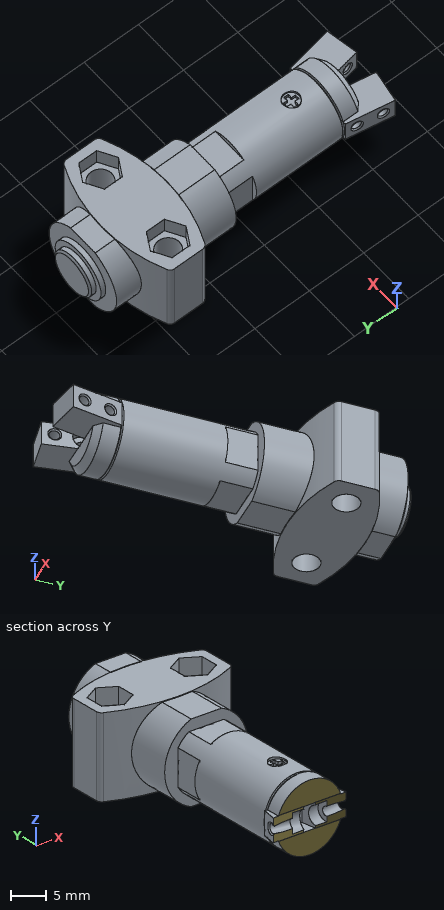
import cadquery as cq
import math

OVERALL_LENGTH = 54.2
REAR_END = 11.5
CAP_START = 10.35
BOSS_REAR = 9.5
BOSS_FRONT = -12.5
BARREL_START = -17.5
GROOVE_REAR = -33.4
GROOVE_FRONT = -33.7
HEAD_END = -37.5
JAW_TIP = REAR_END - OVERALL_LENGTH

SHAFT_D = 10.2
CAP_D = 8.0
CAP_CHAMFER = 0.3
BARREL_D = 12.0
GROOVE_D = 11.5
HEAD_CHAMFER = 1.1

SCREW_Y = -28.85
SCREW_D = 2.9
SCREW_TOP = 5.6
CROSS_LENGTH = 2.15
CROSS_WIDTH = 0.75
CROSS_DEPTH = 0.55

BRACKET_LENGTH = 24.0
BRACKET_WIDTH = 12.0
BRACKET_END_WIDTH = 6.4
BRACKET_HEIGHT = 14.2
BRACKET_CORNER_R = 1.0
BOSS_D = 15.0
BOSS_HEIGHT = 14.0
BOLT_SPACING = 15.0
BOLT_D = 4.1
NUT_FLATS = 5.7
NUT_DEPTH = 3.0

JAW_ANGLE = 10.0
JAW_WIDTH = 5.5
JAW_HEIGHT = 4.0
JAW_TIP_X = 2.15
JAW_HOLE_D = 1.55
JAW_HOLE_CHAMFER = 0.2
JAW_HOLE_FROM_TIP = 1.95
JAW_HOLE_PITCH = 4.3
JAW_POCKET_D = 3.3
JAW_POCKET_DEPTH = 2.0


def cylinder(diameter, start, end):
    """Solid cylinder on the Y axis between two stations."""
    return (
        cq.Workplane("XZ", origin=(0, start, 0))
        .circle(diameter / 2)
        .extrude(start - end)
    )


def make_bracket():
    half_length = BRACKET_LENGTH / 2
    half_width = BRACKET_WIDTH / 2
    half_end = BRACKET_END_WIDTH / 2
    plate = (
        cq.Workplane("XY", origin=(0, 0, -BRACKET_HEIGHT / 2))
        .moveTo(-half_length, -half_end)
        .threePointArc((0, -half_width), (half_length, -half_end))
        .lineTo(half_length, half_end)
        .threePointArc((0, half_width), (-half_length, half_end))
        .close()
        .extrude(BRACKET_HEIGHT)
        .edges("|Z")
        .fillet(BRACKET_CORNER_R)
    )

    boss_length = BOSS_REAR - BOSS_FRONT
    boss_middle = (BOSS_REAR + BOSS_FRONT) / 2
    flats = cq.Workplane("XY").box(BOSS_D, boss_length, BOSS_HEIGHT).translate((0, boss_middle, 0))
    boss = cylinder(BOSS_D, BOSS_REAR, BOSS_FRONT).intersect(flats)
    bracket = plate.union(boss)
    bracket = bracket.cut(cylinder(SHAFT_D, BOSS_REAR, BOSS_FRONT))

    bolt_points = [(-BOLT_SPACING / 2, 0), (BOLT_SPACING / 2, 0)]
    bolts = (
        cq.Workplane("XY", origin=(0, 0, -BRACKET_HEIGHT / 2))
        .pushPoints(bolt_points)
        .circle(BOLT_D / 2)
        .extrude(BRACKET_HEIGHT)
    )
    nut_corners = NUT_FLATS / math.cos(math.radians(30))
    nut = (
        cq.Workplane("XY")
        .polygon(6, nut_corners)
        .extrude(NUT_DEPTH)
        .rotate((0, 0, 0), (0, 0, 1), 30)
    )
    bracket = bracket.cut(bolts)
    for x, y in bolt_points:
        bracket = bracket.cut(nut.translate((x, y, BRACKET_HEIGHT / 2 - NUT_DEPTH)))
    return bracket


def cut_screw(body):
    """Sink a flat screw head with a cross recess into the top of the barrel."""
    head = (
        cq.Workplane("XY", origin=(0, SCREW_Y, SCREW_TOP))
        .circle(SCREW_D / 2)
        .extrude(BARREL_D / 2 - SCREW_TOP)
    )
    cross_base = cq.Workplane("XY", origin=(0, SCREW_Y, SCREW_TOP - CROSS_DEPTH))
    bar_along_x = cross_base.rect(CROSS_LENGTH, CROSS_WIDTH).extrude(CROSS_DEPTH)
    bar_along_y = cross_base.rect(CROSS_WIDTH, CROSS_LENGTH).extrude(CROSS_DEPTH)
    return body.cut(head).cut(bar_along_x).cut(bar_along_y)


def make_body():
    cap = cylinder(CAP_D, REAR_END, CAP_START).faces(">Y").chamfer(CAP_CHAMFER)
    shaft = cylinder(SHAFT_D, CAP_START, BOSS_FRONT)

    neck_length = BOSS_FRONT - BARREL_START
    neck_square = (
        cq.Workplane("XZ", origin=(0, BOSS_FRONT, 0))
        .rect(SHAFT_D, SHAFT_D)
        .extrude(neck_length)
    )
    neck = cylinder(BARREL_D, BOSS_FRONT, BARREL_START).intersect(neck_square)

    barrel = cylinder(BARREL_D, BARREL_START, GROOVE_REAR)
    groove_middle = (GROOVE_REAR + GROOVE_FRONT) / 2
    groove_neck = (
        cq.Workplane("XY")
        .moveTo(0, GROOVE_REAR)
        .lineTo(BARREL_D / 2, GROOVE_REAR)
        .lineTo(GROOVE_D / 2, groove_middle)
        .lineTo(BARREL_D / 2, GROOVE_FRONT)
        .lineTo(0, GROOVE_FRONT)
        .close()
        .revolve(360, (0, 0, 0), (0, 1, 0))
    )
    head = cylinder(BARREL_D, GROOVE_FRONT, HEAD_END).faces("<Y").chamfer(HEAD_CHAMFER)
    body = cap.union(shaft).union(neck).union(barrel).union(groove_neck).union(head)

    slot = (
        cq.Workplane("XZ", origin=(0, GROOVE_FRONT, 0))
        .rect(BARREL_D, JAW_HEIGHT)
        .extrude(GROOVE_FRONT - HEAD_END)
    )
    return cut_screw(body.cut(slot))


def jaw_cylinder(diameter, from_tip, depth):
    """Cylinder square to the inner jaw face, starting at that face, in the untilted jaw."""
    return (
        cq.Workplane("YZ", origin=(0, from_tip, 0))
        .circle(diameter / 2)
        .extrude(depth)
    )


def cut_hole_mouths(jaw, from_tip):
    """Chamfer both ends of a jaw hole with cones that narrow into the jaw."""
    wide = JAW_HOLE_D / 2 + JAW_HOLE_CHAMFER
    narrow = JAW_HOLE_D / 2
    for face_x, direction in ((0, 1), (JAW_WIDTH, -1)):
        mouth = cq.Solid.makeCone(
            wide, narrow, JAW_HOLE_CHAMFER, cq.Vector(face_x, from_tip, 0), cq.Vector(direction, 0, 0)
        )
        jaw = jaw.cut(cq.Workplane(mouth))
    return jaw


def make_jaw():
    """Jaw on the +X side: a drilled bar with its inner tip corner at the origin, tilted and then placed."""
    blank_length = 2 * (GROOVE_FRONT - JAW_TIP)
    jaw = cq.Workplane("XY").box(JAW_WIDTH, blank_length, JAW_HEIGHT, centered=(False, False, True))

    inner_hole = JAW_HOLE_FROM_TIP + JAW_HOLE_PITCH
    for from_tip in (JAW_HOLE_FROM_TIP, inner_hole):
        jaw = jaw.cut(jaw_cylinder(JAW_HOLE_D, from_tip, JAW_WIDTH))
        jaw = cut_hole_mouths(jaw, from_tip)
    jaw = jaw.cut(jaw_cylinder(JAW_POCKET_D, inner_hole, JAW_POCKET_DEPTH))

    jaw = jaw.rotate((0, 0, 0), (0, 0, 1), JAW_ANGLE).translate((JAW_TIP_X, JAW_TIP, 0))

    slot_room = cq.Workplane("XY").box(
        BRACKET_LENGTH, GROOVE_FRONT - JAW_TIP, JAW_HEIGHT, centered=(True, False, True)
    )
    return jaw.intersect(slot_room.translate((0, JAW_TIP, 0)))


bracket = make_bracket()
body = make_body()
right_jaw = make_jaw()
jaws = [right_jaw, right_jaw.mirror("YZ")]

result = cq.Compound.makeCompound([bracket.val(), body.val(), *[jaw.val() for jaw in jaws]])